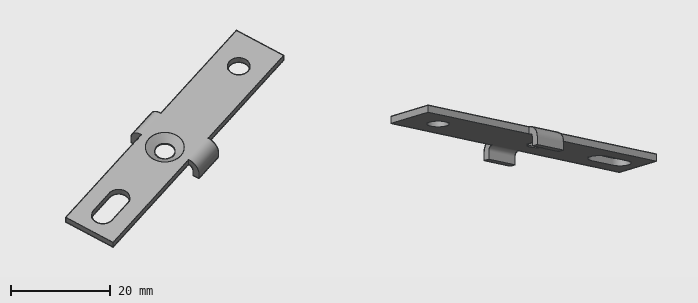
import cadquery as cq
import math

length = 60.0
thickness = 1.5
overall_width = 16.6
overall_height = 4.2

bend_radius = 2.5
inner_bend_radius = bend_radius - thickness
tab_length = 6.9
strip_width = overall_width - 2 * bend_radius

end_distance = 7.5
opening_width = 4.5
slot_length = 10.0
sink_y = -3.5
sink_top_diameter = 7.8
sink_bottom_diameter = 4.1
sink_depth = 1.2


def make_strip():
    return cq.Workplane("XY").rect(strip_width, length).extrude(-thickness)


def make_tab():
    """Tab on the +X edge: a quarter bend followed by a short straight leg."""
    bend_x = strip_width / 2
    outer_x = bend_x + bend_radius
    inner_x = bend_x + inner_bend_radius
    diagonal = math.cos(math.radians(45))
    outer_mid = (bend_x + bend_radius * diagonal, bend_radius * (diagonal - 1))
    inner_mid = (bend_x + inner_bend_radius * diagonal, inner_bend_radius * diagonal - bend_radius)
    return (
        cq.Workplane("XZ")
        .moveTo(bend_x, 0)
        .threePointArc(outer_mid, (outer_x, -bend_radius))
        .lineTo(outer_x, -overall_height)
        .lineTo(inner_x, -overall_height)
        .lineTo(inner_x, -bend_radius)
        .threePointArc(inner_mid, (bend_x, -thickness))
        .close()
        .extrude(tab_length / 2, both=True)
    )


def make_openings():
    """Cutters for the round hole, the slot, the conical screw seat and its screw hole."""
    opening_y = length / 2 - end_distance
    hole = cq.Workplane("XY").center(0, opening_y).circle(opening_width / 2).extrude(-thickness)
    slot = cq.Workplane("XY").center(0, -opening_y).slot2D(slot_length, opening_width, 90).extrude(-thickness)
    sink = (
        cq.Workplane("XY")
        .center(0, sink_y)
        .circle(sink_top_diameter / 2)
        .workplane(offset=-sink_depth)
        .circle(sink_bottom_diameter / 2)
        .loft()
    )
    screw_hole = cq.Workplane("XY").center(0, sink_y).circle(sink_bottom_diameter / 2).extrude(-thickness)
    return hole, slot, sink, screw_hole


tab = make_tab()
result = make_strip().union(tab).union(tab.mirror("YZ"))
for opening in make_openings():
    result = result.cut(opening)